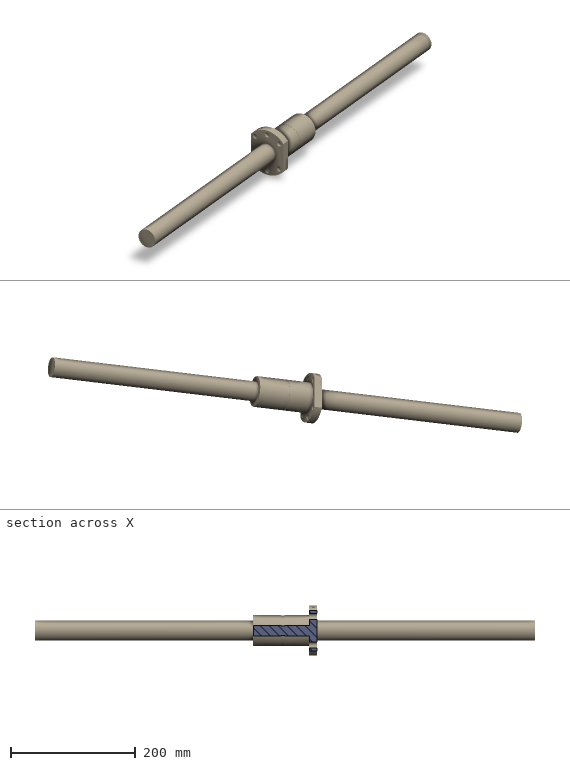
import cadquery as cq
import math

shaft_length = 800.0
shaft_diameter = 32.0

nut_length = 103.0
nut_diameter = 50.0
nut_front = -nut_length / 2
nut_end_chamfer_length = 2.0
nut_end_chamfer_depth = 0.4

flange_diameter = 80.0
flange_width = 62.0
flange_thickness = 13.0

bolt_circle_diameter = 65.0
bolt_hole_diameter = 9.0
bolt_angles = [45, 90, 135, 225, 270, 315]

oil_hole_diameter = 5.0
oil_hole_tilt = 22.5

groove_front = 1.0
groove_width = 6.0
groove_depth = 0.4


def cylinder_along_y(diameter, start, length):
    """Solid cylinder on the Y axis, running from start toward +Y."""
    return (
        cq.Workplane("XZ", origin=(0, start, 0))
        .circle(diameter / 2)
        .extrude(-length)
    )


def make_shaft():
    """Plain round shaft centred on the origin."""
    return cylinder_along_y(shaft_diameter, -shaft_length / 2, shaft_length)


def make_flange():
    """Round flange with two flat sides and six bolt holes."""
    disc = cylinder_along_y(flange_diameter, nut_front, flange_thickness)
    flat_sides = cq.Workplane("XY").box(flange_width, nut_length, flange_diameter)
    bolt_circle_radius = bolt_circle_diameter / 2
    bolt_points = [
        (
            bolt_circle_radius * math.cos(math.radians(angle)),
            bolt_circle_radius * math.sin(math.radians(angle)),
        )
        for angle in bolt_angles
    ]
    bolt_holes = (
        cq.Workplane("XZ", origin=(0, nut_front, 0))
        .pushPoints(bolt_points)
        .circle(bolt_hole_diameter / 2)
        .extrude(-flange_thickness)
    )
    return disc.intersect(flat_sides).cut(bolt_holes)


def make_barrel():
    """Round nut body with a chamfered rear end and a shallow ring groove."""
    radius = nut_diameter / 2
    nut_rear = nut_front + nut_length
    half_section = [
        (0, nut_front),
        (radius, nut_front),
        (radius, nut_rear - nut_end_chamfer_length),
        (radius - nut_end_chamfer_depth, nut_rear),
        (0, nut_rear),
    ]
    barrel = (
        cq.Workplane("XY")
        .polyline(half_section)
        .close()
        .revolve(360, (0, 0, 0), (0, 1, 0))
    )
    groove_ring = cylinder_along_y(nut_diameter, groove_front, groove_width).cut(
        cylinder_along_y(nut_diameter - 2 * groove_depth, groove_front, groove_width)
    )
    return barrel.cut(groove_ring)


def make_oil_hole():
    """Radial hole from the flange rim to the bore, at mid flange thickness."""
    return (
        cq.Workplane("XY")
        .circle(oil_hole_diameter / 2)
        .extrude(flange_diameter / 2)
        .rotate((0, 0, 0), (0, 1, 0), -oil_hole_tilt)
        .translate((0, nut_front + flange_thickness / 2, 0))
    )


def make_nut():
    """Flanged nut whose bore fits the shaft."""
    bore = cylinder_along_y(shaft_diameter, nut_front, nut_length)
    return make_barrel().union(make_flange()).cut(bore).cut(make_oil_hole())


shaft = make_shaft()
nut = make_nut()

result = cq.Compound.makeCompound([shaft.val(), *nut.solids().vals()])